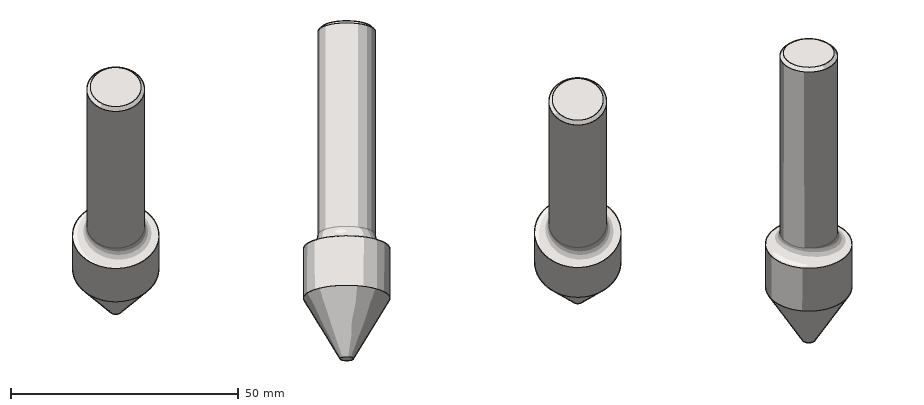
import cadquery as cq

total_length = 76.2
head_diameter = 19.05
shank_diameter = 12.7

tip_length = 13.95
tip_end_diameter = 3.0

head_length = 11.4
shank_chamfer = 0.8

head_radius = head_diameter / 2
shank_radius = shank_diameter / 2
tip_end_radius = tip_end_diameter / 2
shoulder_fillet = head_radius - shank_radius
head_top = tip_length + head_length
fillet_top = head_top + shoulder_fillet
fillet_mid_offset = shoulder_fillet * (1 - 0.5**0.5)


def make_tip():
    """Truncated cone, narrow end down, rotated about Z."""
    return (
        cq.Workplane("XZ")
        .moveTo(0, 0)
        .lineTo(tip_end_radius, 0)
        .lineTo(head_radius, tip_length)
        .lineTo(0, tip_length)
        .close()
        .revolve(360, (0, 0), (0, 1))
    )


def make_holder():
    """Head and shank joined by a concave quarter-round shoulder, with a chamfered top."""
    return (
        cq.Workplane("XZ")
        .moveTo(0, tip_length)
        .lineTo(head_radius, tip_length)
        .lineTo(head_radius, head_top)
        .threePointArc(
            (shank_radius + fillet_mid_offset, head_top + fillet_mid_offset),
            (shank_radius, fillet_top),
        )
        .lineTo(shank_radius, total_length - shank_chamfer)
        .lineTo(shank_radius - shank_chamfer, total_length)
        .lineTo(0, total_length)
        .close()
        .revolve(360, (0, 0), (0, 1))
    )


tip = make_tip()
holder = make_holder()

result = cq.Compound.makeCompound([holder.val(), tip.val()])